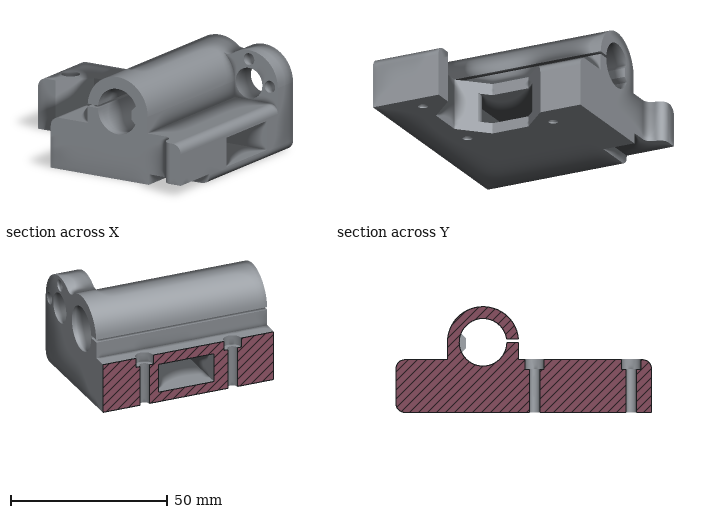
import cadquery as cq
import math

WIDTH = 82.0
LENGTH = 66.0
BLOCK_HEIGHT = 17.05
BLOCK_FRONT = 6.0
EDGE_RADIUS = 3.0

SCREW_PITCH = 30.9
MOTOR_X = 22.05
MOTOR_Y = 35.9
OPENING_FLAT = 12.9
SCREW_HOLE_DIAMETER = 3.2
SCREW_HEAD_DIAMETER = 6.0
SCREW_HEAD_DEPTH = 3.2

WINDOW_BOTTOM = 3.5
WINDOW_TOP = 13.2
WINDOW_FRONT = 27.1
WINDOW_BACK = 50.8
WINDOW_MOUTH_RADIUS = 3.0
WINDOW_INNER_RADIUS = 5.25
BACK_POST_X = 35.4
BACK_POST_Y = 48.55

BARREL_X = 54.0
AXIS_Z = 22.55
BARREL_RADIUS = 11.5
BORE_DIAMETER = 15.1
SLIT_HEIGHT = 0.9
KEY_LENGTH = 11.1
KEY_FACE_X = 59.4
KEY_FACE_HEIGHT = 3.0
KEY_CENTER_Z = 22.1

TAB_RADIUS = 11.0
TAB_X = WIDTH - TAB_RADIUS
TAB_DEPTH = 8.9
TAB_FILLET = 3.0
TAB_BORE_DIAMETER = 10.2
TAB_SCREW_DIAMETER = 4.0
TAB_SCREW_OFFSET = 7.95

LIP_FLAT_WIDTH = 4.0
RECESS_X = 65.9
RECESS_HEIGHT = WINDOW_BOTTOM
RECESS_DEPTH = 11.1


def box(x0, x1, y0, y1, z0, z1):
    """Box between two opposite corners."""
    return cq.Workplane("XY").box(x1 - x0, y1 - y0, z1 - z0, centered=False).translate((x0, y0, z0))


def section_plane(y):
    """XZ plane at depth y; extruding a negative distance from it goes towards +Y."""
    return cq.Workplane(cq.Plane(origin=(0, y, 0), xDir=(1, 0, 0), normal=(0, -1, 0)))


def rod(x, z, diameter, y0=0.0, y1=LENGTH):
    """Cylinder along Y."""
    return section_plane(y0).center(x, z).circle(diameter / 2).extrude(y0 - y1)


def rounded_slab(left_x):
    """Full-length slab, rounded at the top left, top right and bottom right."""
    slab = box(left_x, WIDTH, 0, LENGTH, 0, BLOCK_HEIGHT)
    slab = slab.edges("|Y and >X").fillet(EDGE_RADIUS)
    return slab.edges("|Y and >Z and <X").fillet(EDGE_RADIUS)


def front_gap():
    """Space removed in front of the block, leaving the lip and its S-curve at the +X side."""
    lip_x = WIDTH - LIP_FLAT_WIDTH
    radius = BLOCK_FRONT / 2
    return (
        cq.Workplane("XY")
        .moveTo(0, 0)
        .lineTo(0, BLOCK_FRONT)
        .lineTo(lip_x - 2 * radius, BLOCK_FRONT)
        .tangentArcPoint((lip_x - radius, radius), relative=False)
        .tangentArcPoint((lip_x, 0), relative=False)
        .close()
        .extrude(BLOCK_HEIGHT)
    )


def main_block():
    """Rear arm over the full width and a narrower front part beside the motor."""
    front_left = MOTOR_X + OPENING_FLAT / 2
    arm_front = MOTOR_Y + OPENING_FLAT / 2
    rear = rounded_slab(0).intersect(box(0, WIDTH, arm_front, LENGTH, 0, BLOCK_HEIGHT))
    front = rounded_slab(front_left).intersect(box(0, WIDTH, 0, arm_front, 0, BLOCK_HEIGHT))
    return rear.union(front).cut(front_gap())


def motor_opening():
    """Octagonal opening: a square with its corners cut through the screw positions."""
    half = SCREW_PITCH / 2
    flat = OPENING_FLAT / 2
    corners = [(half, flat), (flat, half), (-flat, half), (-half, flat)]
    corners += [(-x, -y) for x, y in corners]
    return cq.Workplane("XY").center(MOTOR_X, MOTOR_Y).polyline(corners).close().extrude(BLOCK_HEIGHT)


def motor_screws():
    """Three counterbored screw holes; the fourth motor corner is open."""
    half = SCREW_PITCH / 2
    places = [(-half, half), (half, half), (half, -half)]
    start = cq.Workplane("XY", origin=(MOTOR_X, MOTOR_Y, 0)).pushPoints(places)
    holes = start.circle(SCREW_HOLE_DIAMETER / 2).extrude(BLOCK_HEIGHT)
    heads = start.circle(SCREW_HEAD_DIAMETER / 2).extrude(SCREW_HEAD_DEPTH)
    return holes.union(heads.translate((0, 0, BLOCK_HEIGHT - SCREW_HEAD_DEPTH)))


def side_window():
    """Window with rounded mouth corners, widening towards the back through an S-curve."""
    mouth = WINDOW_MOUTH_RADIUS
    inner = WINDOW_INNER_RADIUS
    inner_y = WINDOW_BACK - inner
    inner_x = BACK_POST_X + math.sqrt((mouth + inner) ** 2 - (BACK_POST_Y - inner_y) ** 2)
    share = mouth / (mouth + inner)
    touch = (BACK_POST_X + share * (inner_x - BACK_POST_X), BACK_POST_Y + share * (inner_y - BACK_POST_Y))
    front_y = WINDOW_FRONT - mouth
    slant_offset = MOTOR_X - MOTOR_Y + (SCREW_PITCH + OPENING_FLAT) / 2
    front_x = front_y + slant_offset + mouth * math.sqrt(2)
    diagonal = mouth * math.cos(math.pi / 4)
    return (
        cq.Workplane("XY", origin=(0, 0, WINDOW_BOTTOM))
        .moveTo(BACK_POST_X - diagonal, BACK_POST_Y - diagonal)
        .radiusArc((BACK_POST_X, BACK_POST_Y - mouth), -mouth)
        .radiusArc(touch, -mouth)
        .radiusArc((inner_x, WINDOW_BACK), inner)
        .lineTo(WIDTH, WINDOW_BACK)
        .lineTo(WIDTH, WINDOW_FRONT)
        .lineTo(front_x, WINDOW_FRONT)
        .radiusArc((front_x - diagonal, front_y + diagonal), -mouth)
        .close()
        .extrude(WINDOW_TOP - WINDOW_BOTTOM)
    )


def barrel():
    """Bearing housing: a cylinder on a neck that stands on the block."""
    left = BARREL_X - BARREL_RADIUS
    right = BARREL_X + BARREL_RADIUS
    neck = box(left, right, BLOCK_FRONT, LENGTH, BLOCK_HEIGHT / 2, AXIS_Z)
    return neck.union(rod(BARREL_X, AXIS_Z, 2 * BARREL_RADIUS, BLOCK_FRONT))


def barrel_bore():
    """Bore with a clamping slit to the -X side, less the key at its front end."""
    slit = box(BARREL_X - BARREL_RADIUS, BARREL_X, 0, LENGTH, AXIS_Z, AXIS_Z + SLIT_HEIGHT)
    half = KEY_FACE_HEIGHT / 2
    root_x = BARREL_X + BARREL_RADIUS
    root = half + root_x - KEY_FACE_X
    key = (
        section_plane(BLOCK_FRONT)
        .center(0, KEY_CENTER_Z)
        .polyline([(KEY_FACE_X, -half), (root_x, -root), (root_x, root), (KEY_FACE_X, half)])
        .close()
        .extrude(-KEY_LENGTH)
    )
    return rod(BARREL_X, AXIS_Z, BORE_DIAMETER, BLOCK_FRONT).union(slit).cut(key)


def tab():
    """Nut tab at the back, blended into the barrel by a round valley."""
    front = LENGTH - TAB_DEPTH
    round_top = rod(TAB_X, AXIS_Z, 2 * TAB_RADIUS, front)
    base = box(BARREL_X, WIDTH, front, LENGTH, BLOCK_HEIGHT / 2, AXIS_Z)
    to_barrel = BARREL_RADIUS + TAB_FILLET
    to_tab = TAB_RADIUS + TAB_FILLET
    spacing = TAB_X - BARREL_X
    valley_x = (to_barrel**2 - to_tab**2 + spacing**2) / (2 * spacing)
    valley_z = math.sqrt(to_barrel**2 - valley_x**2)
    web = (
        section_plane(front)
        .polyline([(BARREL_X, AXIS_Z), (BARREL_X + valley_x, AXIS_Z + valley_z), (TAB_X, AXIS_Z)])
        .close()
        .extrude(-TAB_DEPTH)
        .cut(rod(BARREL_X + valley_x, AXIS_Z + valley_z, 2 * TAB_FILLET, front))
    )
    return base.union(round_top).union(web)


def tab_holes():
    """Nut bore and two screw holes, above it and to its +X side."""
    front = LENGTH - TAB_DEPTH
    holes = rod(TAB_X, AXIS_Z, TAB_BORE_DIAMETER, front)
    holes = holes.union(rod(TAB_X, AXIS_Z + TAB_SCREW_OFFSET, TAB_SCREW_DIAMETER, front))
    return holes.union(rod(TAB_X + TAB_SCREW_OFFSET, AXIS_Z, TAB_SCREW_DIAMETER, front))


def lip_recess():
    """Recess below the lip at the +X front corner."""
    return box(RECESS_X, WIDTH, 0, BLOCK_FRONT + RECESS_DEPTH, 0, RECESS_HEIGHT)


body = main_block().union(barrel()).union(tab())
result = (
    body.cut(motor_opening())
    .cut(motor_screws())
    .cut(side_window())
    .cut(barrel_bore())
    .cut(tab_holes())
    .cut(lip_recess())
)